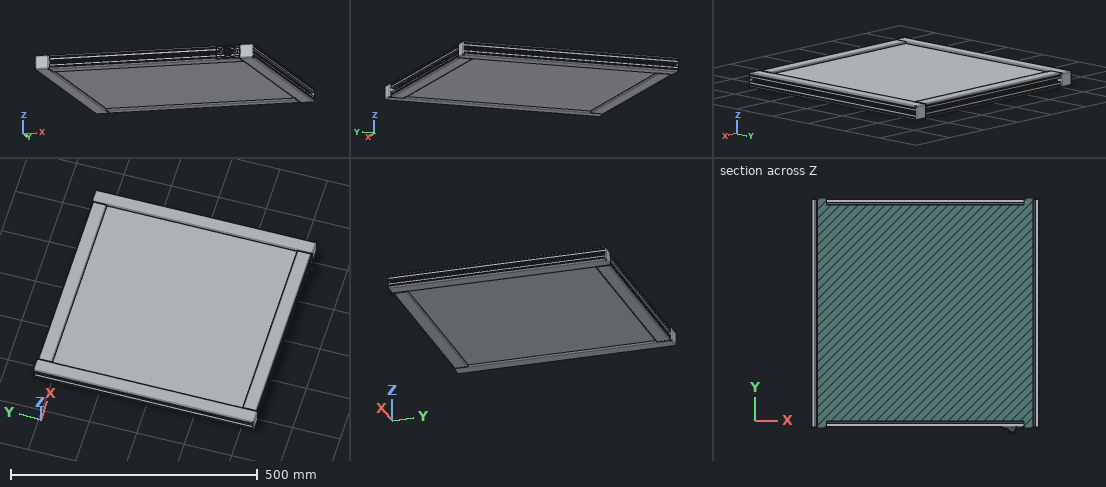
import cadquery as cq

FRAME_WIDTH = 460.0
TOTAL_LENGTH = 479.38
RAIL_SIZE = 30.0
RAIL_LENGTH = 461.0
RAIL_RADIUS = 2.0
CAP_THICKNESS = 2.75
CAP_RADIUS = 2.5
PANEL_RECESS = 4.0

MOUTH_WIDTH = 8.0
LIP_DEPTH = 7.0
CHAMBER_WIDTH = 11.0
FLOOR_WIDTH = 6.0
SLOT_DEPTH = 10.0
FLOOR_GROOVE_WIDTH = 2.0
FLOOR_GROOVE_DEPTH = 1.0
FACE_GROOVE_OFFSET = 9.75
FACE_GROOVE_WIDTH = 2.5
FACE_GROOVE_DEPTH = 0.6

CONNECTOR_X = 175.4
PLATE_LENGTH = 48.0
PLATE_HEIGHT = 26.0
PLATE_THICKNESS = 2.0
SCREW_SPACING = 30.5
SCREW_HEAD_DIAMETER = 11.0
SCREW_HEAD_HEIGHT = 5.0
SCREW_HEAD_RADIUS = 1.5
SOCKET_WIDTH = 4.0
SOCKET_DEPTH = 2.0
NUT_DIAMETER = 18.0
NUT_HEIGHT = 5.0
NUT_CHAMFER = 1.0
STEM_DIAMETER = 12.0
STEM_CHAMFER = 1.0
STEM_BORE = 9.0
STEM_BORE_DEPTH = 6.0
THREAD_PITCH = 1.5
THREAD_DEPTH = 0.6
THREAD_TURNS = 5
PIN_COUNT = 4
PIN_DIAMETER = 1.0
PIN_CIRCLE = 5.0
PIN_LENGTH = 5.0

CROSS_LENGTH = FRAME_WIDTH - 2 * RAIL_SIZE
PANEL_LENGTH = RAIL_LENGTH - 2 * RAIL_SIZE
HALF_RAIL = RAIL_SIZE / 2
FRONT_FACE_Y = -RAIL_LENGTH / 2
STEM_LENGTH = TOTAL_LENGTH - RAIL_LENGTH - CAP_THICKNESS


def make_rail(length):
    """Rail along Y, centred on the origin, with its slotted face toward -X."""
    rail = cq.Workplane("XY").box(RAIL_SIZE, length, RAIL_SIZE).edges("|Y").fillet(RAIL_RADIUS)
    upper_flank = [
        (0, MOUTH_WIDTH / 2),
        (LIP_DEPTH, MOUTH_WIDTH / 2),
        (LIP_DEPTH, CHAMBER_WIDTH / 2),
        (SLOT_DEPTH, FLOOR_WIDTH / 2),
        (SLOT_DEPTH, FLOOR_GROOVE_WIDTH / 2),
        (SLOT_DEPTH + FLOOR_GROOVE_DEPTH, FLOOR_GROOVE_WIDTH / 2),
    ]
    lower_flank = [(depth, -z) for depth, z in reversed(upper_flank)]
    outer_face = cq.Workplane("XZ", origin=(-HALF_RAIL, 0, 0))
    slot = outer_face.polyline(upper_flank + lower_flank).close().extrude(length / 2, both=True)
    rail = rail.cut(slot)
    for groove_z in (-FACE_GROOVE_OFFSET, FACE_GROOVE_OFFSET):
        groove_outline = [
            (0, groove_z - FACE_GROOVE_WIDTH / 2),
            (FACE_GROOVE_DEPTH, groove_z),
            (0, groove_z + FACE_GROOVE_WIDTH / 2),
        ]
        rail = rail.cut(outer_face.polyline(groove_outline).close().extrude(length / 2, both=True))
    return rail


def make_side_rail():
    """Rail closed at both ends by caps with rounded outer edges."""
    cap = cq.Workplane("XY").box(RAIL_SIZE, CAP_THICKNESS, RAIL_SIZE)
    cap = cap.faces(">Y").edges().fillet(CAP_RADIUS)
    cap = cap.translate((0, (RAIL_LENGTH + CAP_THICKNESS) / 2, 0))
    return make_rail(RAIL_LENGTH).union(cap).union(cap.mirror("XZ"))


def make_frame():
    """Two capped side rails and two cross rails, all slots outward, around the panel."""
    frame = cq.Workplane("XY").box(CROSS_LENGTH, PANEL_LENGTH, RAIL_SIZE - 2 * PANEL_RECESS)
    side = make_side_rail().translate((HALF_RAIL - FRAME_WIDTH / 2, 0, 0))
    cross = make_rail(CROSS_LENGTH).rotate((0, 0, 0), (0, 0, 1), 90)
    cross = cross.translate((0, FRONT_FACE_Y + HALF_RAIL, 0))
    for rail in (side, cross):
        frame = frame.union(rail).union(rail.rotate((0, 0, 0), (0, 0, 1), 180))
    return frame


def front_workplane(x=CONNECTOR_X, reach=0.0):
    """Plane facing -Y, the given reach in front of the front rail."""
    return cq.Workplane("XZ", origin=(x, FRONT_FACE_Y - reach, 0))


def make_screw_head(x):
    head = front_workplane(x).circle(SCREW_HEAD_DIAMETER / 2).extrude(SCREW_HEAD_HEIGHT)
    head = head.faces("<Y").edges().fillet(SCREW_HEAD_RADIUS)
    return head.faces("<Y").workplane().polygon(6, SOCKET_WIDTH).cutBlind(-SOCKET_DEPTH)


def make_stem():
    """Threaded socket: ring grooves outside, a bore with contact pins inside."""
    stem = front_workplane().circle(STEM_DIAMETER / 2).extrude(STEM_LENGTH)
    stem = stem.faces("<Y").edges().chamfer(STEM_CHAMFER)
    bore_floor = STEM_LENGTH - STEM_BORE_DEPTH
    stem = stem.cut(front_workplane(reach=bore_floor).circle(STEM_BORE / 2).extrude(STEM_BORE_DEPTH))
    pins = (
        front_workplane(reach=bore_floor)
        .polarArray(PIN_CIRCLE / 2, 0, 360, PIN_COUNT)
        .circle(PIN_DIAMETER / 2)
        .extrude(PIN_LENGTH)
    )
    for turn in range(THREAD_TURNS):
        reach = STEM_LENGTH - STEM_CHAMFER - (turn + 1) * THREAD_PITCH
        groove = (
            front_workplane(reach=reach)
            .circle(STEM_DIAMETER / 2)
            .circle(STEM_DIAMETER / 2 - THREAD_DEPTH)
            .extrude(THREAD_PITCH / 2)
        )
        stem = stem.cut(groove)
    return stem.union(pins)


def make_connector():
    plate = front_workplane().rect(PLATE_LENGTH, PLATE_HEIGHT).extrude(PLATE_THICKNESS)
    nut = front_workplane().circle(NUT_DIAMETER / 2).extrude(NUT_HEIGHT)
    nut = nut.faces("<Y").edges().chamfer(NUT_CHAMFER)
    connector = plate.union(nut).union(make_stem())
    for side in (-1, 1):
        connector = connector.union(make_screw_head(CONNECTOR_X + side * SCREW_SPACING / 2))
    return connector


result = make_frame().union(make_connector())